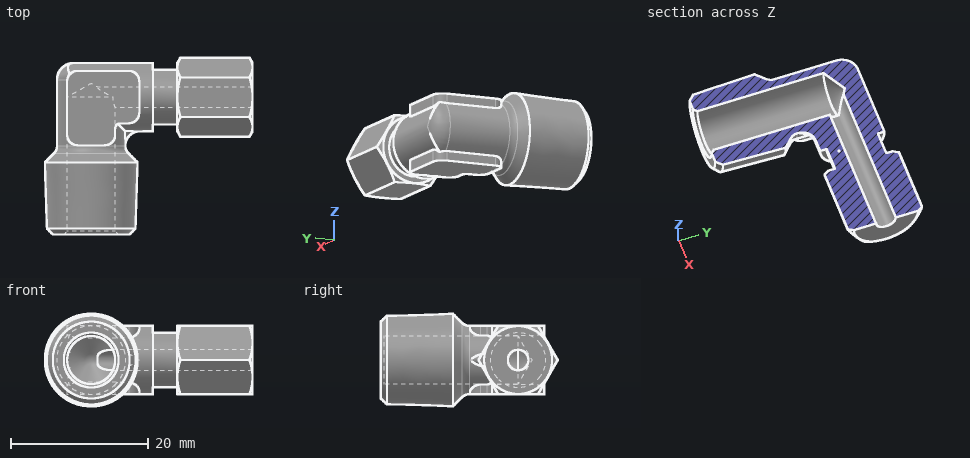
import cadquery as cq
import math

body_radius = 5.0
run_end_round = 2.5

thread_end = 20.0
thread_start = 9.5
thread_large_radius = 6.77
thread_taper = 1 / 32
end_chamfer_length = 0.9
end_face_radius = 5.6
neck_round = 1.5
shoulder_angle = math.radians(45)

bore_radius = 3.5
bore_mouth_radius = 4.0
drill_half_angle = math.radians(60)

branch_end = 9.0
tube_radius = 4.0
branch_bore_radius = 1.5

nut_across_flats = 10.0
nut_across_corners = nut_across_flats / math.cos(math.radians(30))
nut_end = 23.52
nut_length = 11.0
nut_start = nut_end - nut_length
nut_face_radius = 4.95
nut_chamfer_angle = math.radians(30)

pad_half_width = 3.5
pad_outer_edge = 3.83
pad_reach = 7.0
pad_inner_edge = 3.8
pad_corner_radius = 1.5
pad_notch_radius = 0.75

web_arc_radius = 2.0
web_half_thickness = 0.9


def make_run():
    """Revolve the run from the branch axis down: cylinder, shoulder and tapered thread envelope."""
    round_drop = neck_round * math.sin(shoulder_angle)
    round_rise = neck_round * (1 - math.cos(shoulder_angle))
    shoulder_top_radius = body_radius + round_rise
    shoulder_top = thread_start - (thread_large_radius - shoulder_top_radius) / math.tan(shoulder_angle)
    round_start = shoulder_top - round_drop
    half_angle = shoulder_angle / 2
    round_mid_radius = body_radius + neck_round * (1 - math.cos(half_angle))
    round_mid = round_start + neck_round * math.sin(half_angle)
    chamfer_start = thread_end - end_chamfer_length
    thread_small_radius = thread_large_radius - (chamfer_start - thread_start) * thread_taper

    return (
        cq.Workplane("XY")
        .moveTo(0, -thread_end)
        .lineTo(end_face_radius, -thread_end)
        .lineTo(thread_small_radius, -chamfer_start)
        .lineTo(thread_large_radius, -thread_start)
        .lineTo(shoulder_top_radius, -shoulder_top)
        .threePointArc((round_mid_radius, -round_mid), (body_radius, -round_start))
        .lineTo(body_radius, 0)
        .lineTo(0, 0)
        .close()
        .revolve(360, (0, 0, 0), (0, 1, 0))
    )


def make_run_end():
    """Closed end of the run: a round-edged stub kept inside the cylinder of the branch."""
    stub = cq.Workplane("XZ").circle(body_radius).extrude(-body_radius)
    stub = stub.faces(">Y").edges().fillet(run_end_round)
    branch_cylinder = cq.Workplane("YZ").circle(body_radius).extrude(body_radius, both=True)
    return stub.intersect(branch_cylinder)


def make_branch():
    """Branch cylinder followed by the thinner tube that carries the nut."""
    branch = cq.Workplane("YZ").circle(body_radius).extrude(branch_end)
    tube = cq.Workplane("YZ").workplane(offset=branch_end).circle(tube_radius).extrude(nut_start - branch_end)
    return branch.union(tube)


def make_nut():
    """Hexagon with corners on +Y and -Y, both ends trimmed by chamfer cones."""
    corner_radius = nut_across_corners / 2
    chamfer_length = (corner_radius - nut_face_radius) * math.tan(nut_chamfer_angle)
    hexagon = cq.Workplane("YZ").workplane(offset=nut_start).polygon(6, nut_across_corners).extrude(nut_length)
    envelope = (
        cq.Workplane("XY")
        .moveTo(nut_start, 0)
        .lineTo(nut_start, nut_face_radius)
        .lineTo(nut_start + chamfer_length, corner_radius)
        .lineTo(nut_end - chamfer_length, corner_radius)
        .lineTo(nut_end, nut_face_radius)
        .lineTo(nut_end, 0)
        .close()
        .revolve(360, (0, 0, 0), (1, 0, 0))
    )
    return hexagon.intersect(envelope)


def make_pads():
    """L-shaped block whose flat faces are tangent to the top and bottom of both cylinders."""
    block = (
        cq.Workplane("XY")
        .workplane(offset=-body_radius)
        .moveTo(-pad_half_width, pad_outer_edge)
        .lineTo(pad_reach, pad_outer_edge)
        .lineTo(pad_reach, -pad_inner_edge)
        .lineTo(pad_half_width, -pad_inner_edge)
        .lineTo(pad_half_width, -pad_reach)
        .lineTo(-pad_half_width, -pad_reach)
        .close()
        .extrude(2 * body_radius)
    )
    notch = cq.selectors.NearestToPointSelector((pad_half_width, -pad_inner_edge, 0))
    block = block.edges(notch).fillet(pad_notch_radius)
    for x, y in (
        (-pad_half_width, pad_outer_edge),
        (pad_reach, pad_outer_edge),
        (pad_reach, -pad_inner_edge),
        (pad_half_width, -pad_reach),
        (-pad_half_width, -pad_reach),
    ):
        corner = cq.selectors.NearestToPointSelector((x, y, 0))
        block = block.edges("|Z").edges(corner).fillet(pad_corner_radius)
    return block


def make_web():
    """Quarter ring with a rounded inner rim, filling the inner corner of the elbow."""
    center = body_radius + web_arc_radius
    rim_start = web_arc_radius + web_half_thickness
    return (
        cq.Workplane("XZ", origin=(center, -center, 0))
        .moveTo(-center, -web_half_thickness)
        .lineTo(-rim_start, -web_half_thickness)
        .threePointArc((-web_arc_radius, 0), (-rim_start, web_half_thickness))
        .lineTo(-center, web_half_thickness)
        .close()
        .revolve(90, (0, 0, 0), (0, -1, 0))
    )


def make_main_bore():
    """Blind bore from the threaded end with a chamfered mouth and a drill-point bottom."""
    mouth_depth = bore_mouth_radius - bore_radius
    drill_point = bore_radius / math.tan(drill_half_angle)
    return (
        cq.Workplane("XY")
        .moveTo(0, -thread_end)
        .lineTo(bore_mouth_radius, -thread_end)
        .lineTo(bore_radius, -thread_end + mouth_depth)
        .lineTo(bore_radius, 0)
        .lineTo(0, drill_point)
        .close()
        .revolve(360, (0, 0, 0), (0, 1, 0))
    )


def make_branch_bore():
    """Small bore from the main bore out through the end of the nut."""
    return cq.Workplane("YZ").circle(branch_bore_radius).extrude(nut_end)


outside = make_run()
for feature in (make_run_end(), make_branch(), make_nut(), make_pads(), make_web()):
    outside = outside.union(feature)
result = outside.cut(make_main_bore()).cut(make_branch_bore())